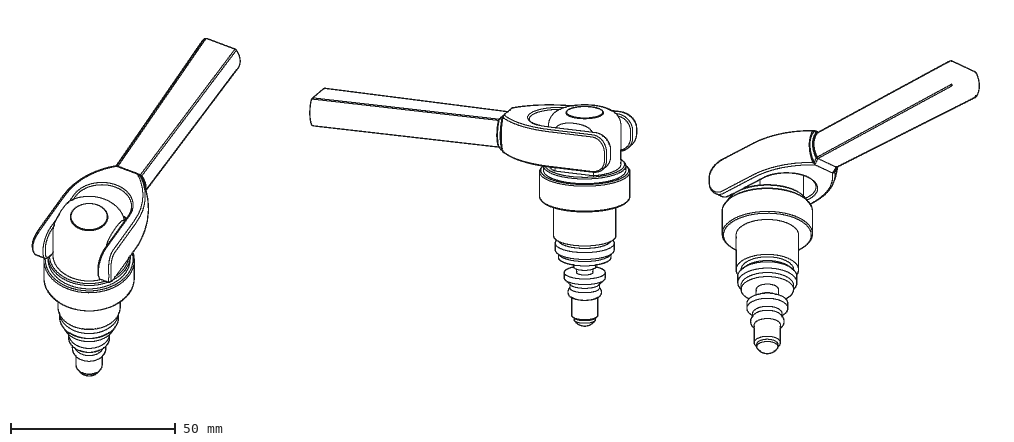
import cadquery as cq
import math


cap_dia = 22.0
cap_flat_width = 18.0
cap_fillet = 4.0
collar_dia = 25.0
nut_dia = 27.5
barrel_dia = 19.0
seal_seat_dia = 16.0
seal_dia = 18.0
rod_dia = 6.8
rod_neck_dia = 5.0
plug_flange_dia = 12.5
plug_neck_dia = 9.0
o_ring_land_dia = 9.8
o_ring_dia = 10.2
tip_dia = 8.0
nose_dia = 6.5

total_height = 68.48
cap_top = -0.2
collar_top = -16.8
nut_top = -18.7
nut_bottom = -27.5
barrel_bottom = -39.7
seal_top = -41.0
seal_bottom = -45.2
seal_seat_bottom = -46.6
rod_bottom = -49.6
plug_flange_top = -51.4
plug_flange_bottom = -53.2
plug_neck_top = -55.0
o_ring_top = -56.4
o_ring_land_bottom = -57.0
o_ring_bottom = -59.0
tip_bottom = -65.2
nose_top = -65.8
dome_top = -66.6
edge_break = 0.4

button_dia = 11.4

pivot_z = -8.7
fork_height = 12.0
fork_width = 27.0
fork_side_bulge = 1.2
fork_edge_break = 0.5
fork_slot_width = cap_flat_width
fork_slot_center_y = 8.4
fork_straight_end_y = 7.0
fork_shoulder_radius = 25.3
fork_front_y = -12.0
fork_tip_radius = 5.0
fork_back_y = 24.9

neck_width = 12.2
neck_side_bulge = 2.1

handle_height = 9.0
handle_start_y = 26.4
handle_end_y = 87.0
handle_start_width = 11.5
handle_end_width = 13.7
handle_side_bulge = 1.6
handle_edge_break = 0.3
handle_end_fillet = 0.9


def make_valve_body():
    """Revolve the cap, collar, nut, barrel, seal, rod and plug about Z."""
    seal_ramp = (seal_dia - seal_seat_dia) / 2
    o_ring_middle = (o_ring_land_bottom + o_ring_bottom) / 2
    button_chamfer = -cap_top
    dome_bottom = -total_height
    dome_height = dome_top - dome_bottom
    dome_radius = (dome_height**2 + (nose_dia / 2) ** 2) / (2 * dome_height)
    dome_center = dome_bottom + dome_radius
    half_angle = math.asin(nose_dia / 2 / dome_radius) / 2
    dome_middle = (
        dome_radius * math.sin(half_angle),
        dome_center - dome_radius * math.cos(half_angle),
    )
    fillet_middle = (
        cap_dia / 2 - cap_fillet * (1 - math.sqrt(0.5)),
        cap_top - cap_fillet * (1 - math.sqrt(0.5)),
    )
    profile = (
        cq.Workplane("XZ")
        .moveTo(0, 0)
        .lineTo(button_dia / 2 - button_chamfer, 0)
        .lineTo(button_dia / 2, cap_top)
        .lineTo(cap_dia / 2 - cap_fillet, cap_top)
        .threePointArc(fillet_middle, (cap_dia / 2, cap_top - cap_fillet))
        .lineTo(cap_dia / 2, collar_top)
        .lineTo(collar_dia / 2 - edge_break, collar_top)
        .lineTo(collar_dia / 2, collar_top - edge_break)
        .lineTo(collar_dia / 2, nut_top)
        .lineTo(nut_dia / 2 - edge_break, nut_top)
        .lineTo(nut_dia / 2, nut_top - edge_break)
        .lineTo(nut_dia / 2, nut_bottom + edge_break)
        .lineTo(nut_dia / 2 - edge_break, nut_bottom)
        .lineTo(barrel_dia / 2, nut_bottom)
        .lineTo(barrel_dia / 2, barrel_bottom)
        .lineTo(seal_seat_dia / 2, barrel_bottom)
        .lineTo(seal_seat_dia / 2, seal_top)
        .lineTo(seal_dia / 2, seal_top - seal_ramp)
        .lineTo(seal_dia / 2, seal_bottom + seal_ramp)
        .lineTo(seal_seat_dia / 2, seal_bottom)
        .lineTo(seal_seat_dia / 2, seal_seat_bottom)
        .lineTo(rod_dia / 2, seal_seat_bottom)
        .lineTo(rod_dia / 2, rod_bottom)
        .lineTo(rod_neck_dia / 2, rod_bottom)
        .lineTo(rod_neck_dia / 2, plug_flange_top)
        .lineTo(plug_flange_dia / 2, plug_flange_top)
        .lineTo(plug_flange_dia / 2, plug_flange_bottom)
        .lineTo(plug_neck_dia / 2, plug_neck_top)
        .lineTo(plug_neck_dia / 2, o_ring_top)
        .lineTo(o_ring_land_dia / 2, o_ring_land_bottom)
        .threePointArc((o_ring_dia / 2, o_ring_middle), (tip_dia / 2, o_ring_bottom))
        .lineTo(tip_dia / 2, tip_bottom)
        .lineTo(nose_dia / 2, nose_top)
        .lineTo(nose_dia / 2, dome_top)
        .threePointArc(dome_middle, (0, dome_bottom))
        .close()
    )
    return profile.revolve(360, (0, 0, 0), (0, 1, 0))


def cut_cap_flats(body):
    """Flatten the two sides of the cap that face the fork arms."""
    cap_height = -collar_top
    blank = cq.Workplane("XY").circle(nut_dia).extrude(-cap_height)
    slab = cq.Workplane("XY").rect(cap_flat_width, 3 * nut_dia).extrude(-cap_height)
    return body.cut(blank.cut(slab))


def barrel_section(plane, width, height, bulge):
    """Draw a closed section whose flat top and bottom are joined by bulged sides."""
    side_x = width / 2 - bulge
    side_z = height / 2
    return (
        plane.moveTo(-side_x, side_z)
        .lineTo(side_x, side_z)
        .threePointArc((width / 2, 0), (side_x, -side_z))
        .lineTo(-side_x, -side_z)
        .threePointArc((-width / 2, 0), (-side_x, side_z))
        .close()
    )


def make_shoulder_disc(side):
    """Make the bulged-rim disc whose rim is the curved shoulder on one side (+1 or -1) of the fork."""
    center_x = side * (fork_width / 2 - fork_shoulder_radius)
    rim_x = fork_shoulder_radius - fork_side_bulge
    half_height = fork_height / 2
    disc = (
        cq.Workplane("XZ")
        .moveTo(0, -half_height)
        .lineTo(rim_x, -half_height)
        .threePointArc((fork_shoulder_radius, 0), (rim_x, half_height))
        .lineTo(0, half_height)
        .close()
        .revolve(360, (0, 0, 0), (0, 1, 0))
    )
    return disc.translate((center_x, fork_straight_end_y, 0))


def make_fork_slot():
    """Make the round-ended slot between the arms."""
    half_width = fork_slot_width / 2
    slot_end_y = fork_slot_center_y + half_width
    return (
        cq.Workplane("XY")
        .moveTo(-half_width, 2 * fork_front_y)
        .lineTo(half_width, 2 * fork_front_y)
        .lineTo(half_width, fork_slot_center_y)
        .threePointArc((0, slot_end_y), (-half_width, fork_slot_center_y))
        .close()
        .extrude(fork_height / 2, both=True)
    )


def make_fork():
    """Make the two-armed fork, centred on Z = 0, with its long edges broken."""
    arms = barrel_section(
        cq.Workplane("XZ", origin=(0, fork_straight_end_y, 0)),
        fork_width,
        fork_height,
        fork_side_bulge,
    ).extrude(fork_straight_end_y - fork_front_y)
    arms = arms.faces("<Y").edges("<Z or >Z").fillet(fork_tip_radius)
    shoulder_length = fork_back_y - fork_straight_end_y
    shoulder_window = (
        cq.Workplane("XY")
        .box(fork_width, shoulder_length, fork_height, centered=(True, False, True))
        .translate((0, fork_straight_end_y, 0))
    )
    shoulder = make_shoulder_disc(1).intersect(make_shoulder_disc(-1)).intersect(shoulder_window)
    fork = arms.union(shoulder).cut(make_fork_slot())
    return fork.faces(">Z or <Z or <Y").edges("not |X").chamfer(fork_edge_break)


def make_neck():
    """Make the bevel that steps from the back of the fork down to the start of the handle."""
    wide_end = barrel_section(
        cq.Workplane("XZ", origin=(0, fork_back_y, 0)), neck_width, fork_height, neck_side_bulge
    )
    narrow_end = barrel_section(
        wide_end.workplane(offset=fork_back_y - handle_start_y),
        handle_start_width,
        handle_height,
        handle_side_bulge,
    )
    return narrow_end.loft(ruled=True).edges("not #Y").chamfer(handle_edge_break)


def make_handle():
    """Make the tapered grip, centred on Z = 0, with broken long edges and a rounded end."""
    start = barrel_section(
        cq.Workplane("XZ", origin=(0, handle_start_y, 0)),
        handle_start_width,
        handle_height,
        handle_side_bulge,
    )
    end = barrel_section(
        start.workplane(offset=handle_start_y - handle_end_y),
        handle_end_width,
        handle_height,
        handle_side_bulge,
    )
    grip = end.loft(ruled=True)
    grip = grip.faces(">Z or <Z").edges("not |X").chamfer(handle_edge_break)
    return grip.faces(">Y").edges().fillet(handle_end_fillet)


body = cut_cap_flats(make_valve_body())
lever = make_fork().union(make_neck()).union(make_handle()).translate((0, 0, pivot_z))
result = body.union(lever)